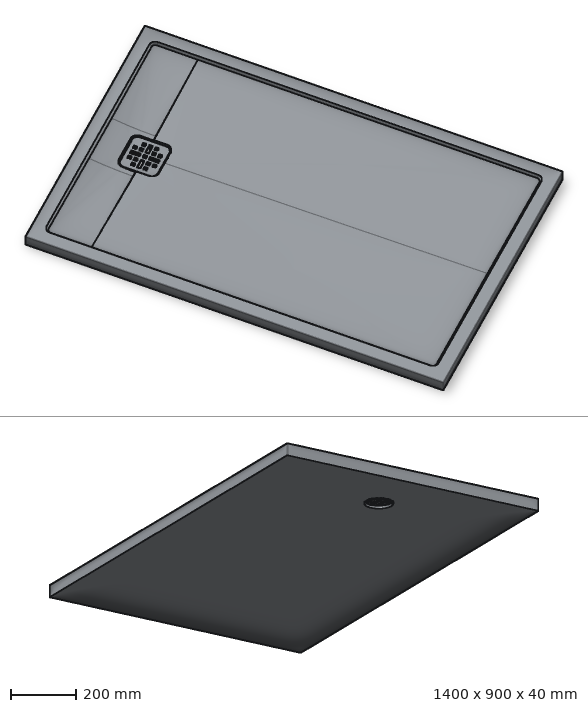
import cadquery as cq
import math

LENGTH = 1400.0
WIDTH = 900.0
HEIGHT = 40.0
EDGE_ROUND = 2.0

RIM_WIDTH = 43.0
WALL_RUN = 7.0
BASIN_CORNER_RADIUS = 20.0
BASIN_LENGTH = LENGTH - 2 * RIM_WIDTH
BASIN_WIDTH = WIDTH - 2 * RIM_WIDTH
BASIN_LEFT = -BASIN_LENGTH / 2
BASIN_RIGHT = BASIN_LENGTH / 2
BASIN_SIDE = BASIN_WIDTH / 2

EDGE_DEPTH = 8.0
RIGHT_MIDDLE_DEPTH = 10.0
DRAIN_DEPTH = 22.0
WALL_TAPER = math.degrees(math.atan2(WALL_RUN, EDGE_DEPTH))

DRAIN_X = -500.0
STRIP_HALF_WIDTH = 85.0
POCKET_SIZE = 135.0
POCKET_CORNER_RADIUS = 24.0
POCKET_DEPTH = 8.0
OUTLET_DIAMETER = 90.0

GRATE_GAP = 4.0
GRATE_SIZE = POCKET_SIZE - 2 * GRATE_GAP
GRATE_CORNER_RADIUS = POCKET_CORNER_RADIUS - GRATE_GAP
GRATE_RECESS = 1.0
GRATE_THICKNESS = POCKET_DEPTH - GRATE_RECESS
OPENING_SIZE = 10.5
OPENING_PITCH = 21.0

EDGE_Z = HEIGHT - EDGE_DEPTH
RIGHT_MIDDLE_Z = HEIGHT - RIGHT_MIDDLE_DEPTH
DRAIN_Z = HEIGHT - DRAIN_DEPTH
POCKET_Z = DRAIN_Z - POCKET_DEPTH


def section_wire(floor_edge, y):
    """Closed section at y: the floor edge, then up and back along the rim level."""
    start = floor_edge.startPoint()
    end = floor_edge.endPoint()
    end_top = cq.Vector(end.x, y, HEIGHT)
    start_top = cq.Vector(start.x, y, HEIGHT)
    return cq.Wire.assembleEdges([
        floor_edge,
        cq.Edge.makeLine(end, end_top),
        cq.Edge.makeLine(end_top, start_top),
        cq.Edge.makeLine(start_top, start),
    ])


def straight_section(x0, z0, x1, z1, y):
    return section_wire(cq.Edge.makeLine(cq.Vector(x0, y, z0), cq.Vector(x1, y, z1)), y)


def dished_section(y):
    """Left-hand section whose floor curves down and runs level into the drain."""
    drain_point = cq.Vector(DRAIN_X, y, DRAIN_Z)
    left_point = cq.Vector(BASIN_LEFT, y, EDGE_Z)
    return section_wire(cq.Edge.makeTangentArc(drain_point, cq.Vector(-1, 0, 0), left_point), y)


def space_above_floor():
    """Space between the floor and the rim level, floor patch by floor patch."""
    strip_sections = [dished_section(-STRIP_HALF_WIDTH), dished_section(STRIP_HALF_WIDTH)]
    pieces = [cq.Solid.makeLoft(strip_sections, True)]
    for side in (-1, 1):
        y_side = side * BASIN_SIDE
        right_sections = [
            straight_section(DRAIN_X, DRAIN_Z, BASIN_RIGHT, RIGHT_MIDDLE_Z, 0),
            straight_section(DRAIN_X, EDGE_Z, BASIN_RIGHT, EDGE_Z, y_side),
        ]
        left_sections = [
            dished_section(side * STRIP_HALF_WIDTH),
            straight_section(DRAIN_X, EDGE_Z, BASIN_LEFT, EDGE_Z, y_side),
        ]
        pieces.append(cq.Solid.makeLoft(right_sections, True))
        pieces.append(cq.Solid.makeLoft(left_sections, True))
    return pieces


def rounded_block(length, width, corner_radius, bottom, height):
    return (
        cq.Workplane("XY", origin=(0, 0, bottom))
        .rect(length, width)
        .extrude(height)
        .edges("|Z")
        .fillet(corner_radius)
    )


def make_basin_pieces():
    """Pieces of the rounded opening with sloping walls, each limited below by its floor patch."""
    outline = cq.Sketch().rect(BASIN_LENGTH, BASIN_WIDTH).vertices().fillet(BASIN_CORNER_RADIUS)
    opening = (
        cq.Workplane("XY", origin=(0, 0, HEIGHT))
        .placeSketch(outline)
        .extrude(-DRAIN_DEPTH, taper=WALL_TAPER)
    )
    return [opening.intersect(cq.Workplane(piece)) for piece in space_above_floor()]


def make_tray():
    tray = rounded_block(LENGTH, WIDTH, EDGE_ROUND, 0, HEIGHT)
    tray = tray.faces(">Z").edges().fillet(EDGE_ROUND)
    for piece in make_basin_pieces():
        tray = tray.cut(piece)
    pocket = rounded_block(POCKET_SIZE, POCKET_SIZE, POCKET_CORNER_RADIUS, POCKET_Z, HEIGHT - POCKET_Z)
    outlet = cq.Workplane("XY").circle(OUTLET_DIAMETER / 2).extrude(HEIGHT)
    drain = pocket.union(outlet).translate((DRAIN_X, 0, 0))
    return tray.cut(drain)


def make_grate():
    """Square plate with a cross of four slots and square openings around it."""
    inner = OPENING_PITCH
    outer = 2 * OPENING_PITCH
    slot_length = OPENING_PITCH + OPENING_SIZE
    slot_centre = (inner + outer) / 2
    squares = [(0, 0)]
    for sx in (-1, 1):
        for sy in (-1, 1):
            squares += [(sx * inner, sy * inner), (sx * outer, sy * inner), (sx * inner, sy * outer)]
    grate = rounded_block(GRATE_SIZE, GRATE_SIZE, GRATE_CORNER_RADIUS, POCKET_Z, GRATE_THICKNESS)
    openings = (
        cq.Workplane("XY")
        .pushPoints(squares)
        .rect(OPENING_SIZE, OPENING_SIZE)
        .pushPoints([(-slot_centre, 0), (slot_centre, 0)])
        .rect(slot_length, OPENING_SIZE)
        .pushPoints([(0, -slot_centre), (0, slot_centre)])
        .rect(OPENING_SIZE, slot_length)
        .extrude(HEIGHT)
    )
    return grate.cut(openings).translate((DRAIN_X, 0, 0))


tray = make_tray()
grate = make_grate()
result = cq.Compound.makeCompound([tray.val(), grate.val()])